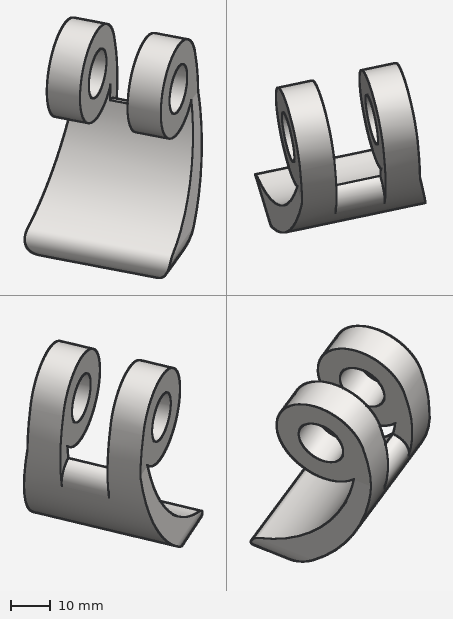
import cadquery as cq
import math

ring_diameter = 25.4
bore_diameter = 12.7
ring_axis = (0, 0)
ring_width = 8.9
ring_gap = 12.7
ring_radius = ring_diameter / 2
ring_outer_half_width = ring_gap / 2 + ring_width

tip_radius = 3.81
tip_center = (-14.18, -42.82)
back_center = (-24.58, -9.3)
front_center = (-26.0, -5.3)

lever_half_width = 38.83 / 2
taper_top_z = -8.76
corner_radius = 6.35
lever_bottom_z = tip_center[1] - tip_radius

web_top_z = -ring_radius
web_edge_radius = 4.6

cutter_length = 120.0

back_radius = math.dist(tip_center, back_center) + tip_radius
front_radius = math.dist(tip_center, front_center) - tip_radius


def direction(start, end):
    """Angle of the line from start to end."""
    return math.atan2(end[1] - start[1], end[0] - start[0])


def point_on(center, radius, angle):
    """Point of a circle at the given angle."""
    return (center[0] + radius * math.cos(angle), center[1] + radius * math.sin(angle))


def ring_crossing_angle(center, radius, side):
    """Angle, on an arc, of its crossing with the ring; side picks the upper (1) or lower (-1) one."""
    distance = math.dist(center, ring_axis)
    spread = math.acos((radius**2 + distance**2 - ring_radius**2) / (2 * radius * distance))
    return direction(center, ring_axis) + side * spread


def lever_blank(half_width):
    """Lever side profile extruded symmetrically along X."""
    back_start = ring_crossing_angle(back_center, back_radius, 1)
    back_end = direction(back_center, tip_center)
    front_start = direction(front_center, tip_center)
    front_end = ring_crossing_angle(front_center, front_radius, -1)
    tip_middle = (back_end + front_start - math.pi) / 2
    return (
        cq.Workplane("YZ")
        .moveTo(*ring_axis)
        .lineTo(*point_on(back_center, back_radius, back_start))
        .threePointArc(
            point_on(back_center, back_radius, (back_start + back_end) / 2),
            point_on(back_center, back_radius, back_end),
        )
        .threePointArc(
            point_on(tip_center, tip_radius, tip_middle),
            point_on(front_center, front_radius, front_start),
        )
        .threePointArc(
            point_on(front_center, front_radius, (front_start + front_end) / 2),
            point_on(front_center, front_radius, front_end),
        )
        .close()
        .extrude(half_width, both=True)
    )


def width_outline():
    """Prism along Y: straight beside the rings, tapering wider below, with rounded bottom corners."""
    corner_x = lever_half_width - corner_radius
    corner_z = lever_bottom_z + corner_radius
    taper_top = (ring_outer_half_width, taper_top_z)
    corner = (corner_x, corner_z)
    reach = math.dist(corner, taper_top)
    tangent_angle = direction(corner, taper_top) - math.acos(corner_radius / reach)
    middle_angle = (tangent_angle - math.pi / 2) / 2
    tangent_x, tangent_z = point_on(corner, corner_radius, tangent_angle)
    middle_x, middle_z = point_on(corner, corner_radius, middle_angle)
    return (
        cq.Workplane("XZ")
        .moveTo(-ring_outer_half_width, ring_radius)
        .lineTo(ring_outer_half_width, ring_radius)
        .lineTo(*taper_top)
        .lineTo(tangent_x, tangent_z)
        .threePointArc((middle_x, middle_z), (corner_x, lever_bottom_z))
        .lineTo(-corner_x, lever_bottom_z)
        .threePointArc((-middle_x, middle_z), (-tangent_x, tangent_z))
        .lineTo(-ring_outer_half_width, taper_top_z)
        .close()
        .extrude(cutter_length / 2, both=True)
    )


def gap_slab():
    """Slab filling the space between the rings over the whole lever."""
    return cq.Workplane("XY").box(ring_gap, cutter_length, cutter_length)


def web():
    """Middle of the lever, cut level with the bottom of the rings and rounded at the back."""
    above_web = (
        cq.Workplane("XY")
        .box(ring_gap, cutter_length, cutter_length, centered=(True, True, False))
        .translate((0, 0, web_top_z))
    )
    middle = lever_blank(ring_gap / 2).cut(above_web)
    return middle.faces(">Z").edges(">Y").fillet(web_edge_radius)


def ring_cylinder(diameter, side):
    """Cylinder on the X axis as wide as one ring, on the given side."""
    start = ring_gap / 2 if side > 0 else -ring_outer_half_width
    return cq.Workplane("YZ", origin=(start, 0, 0)).circle(diameter / 2).extrude(ring_width)


lever_sides = lever_blank(lever_half_width).intersect(width_outline()).cut(gap_slab())
lower_web = web().intersect(width_outline())
result = lever_sides.union(lower_web)
for side in (-1, 1):
    result = result.union(ring_cylinder(ring_diameter, side))
for side in (-1, 1):
    result = result.cut(ring_cylinder(bore_diameter, side))